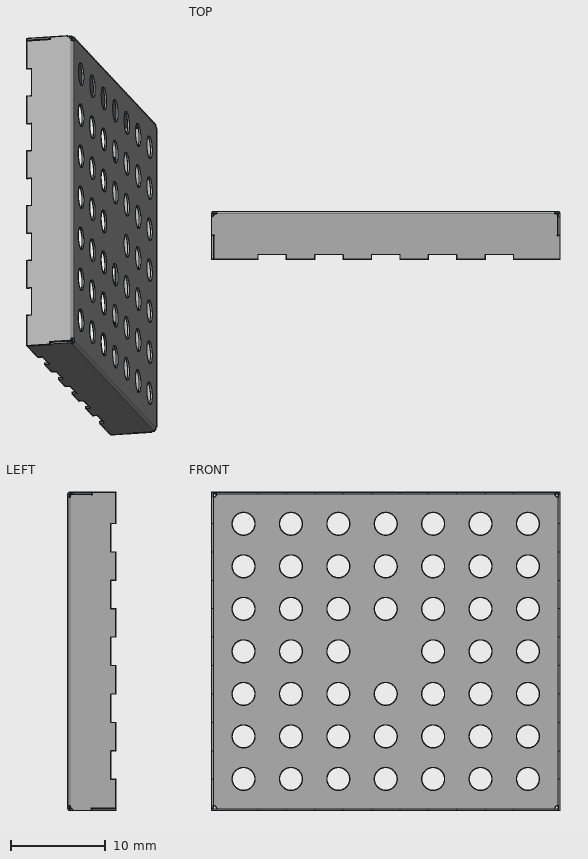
import cadquery as cq

width = 36.83
height = 33.65
depth = 5.1
thickness = 0.2
bend_radius = 0.25

joint_gap = 0.07
half_gap = joint_gap / 2
joint_inset = thickness + joint_gap
lap_chamfer = 0.35
relief_radius = 0.33
bend_inset = thickness + relief_radius

hole_diameter = 2.4
hole_pitch_x = 5.0
hole_pitch_z = 4.5
holes_per_side = 7

notch_count = 5
notch_width = 3.0
notch_pitch = 6.0
notch_depth = 0.5

fold_line = depth / 2 - bend_radius
rim = -depth / 2


def make_plate():
    """Flat plate between the folds, perforated except at its centre."""
    plate = (
        cq.Workplane("XZ", origin=(0, depth / 2, 0))
        .rect(width - 2 * bend_radius, height - 2 * bend_radius)
        .extrude(thickness)
    )
    middle = holes_per_side // 2
    centres = [
        ((column - middle) * hole_pitch_x, (row - middle) * hole_pitch_z)
        for column in range(holes_per_side)
        for row in range(holes_per_side)
        if (column, row) != (middle, middle)
    ]
    holes = (
        cq.Workplane("XZ", origin=(0, depth / 2, 0))
        .pushPoints(centres)
        .circle(hole_diameter / 2)
        .extrude(thickness)
    )
    return plate.cut(holes)


def make_wall(length, distance):
    """Wall on the +Z side: length along X, outer face at Z = distance."""
    end = length / 2
    short_end = end - joint_inset
    bend_end = end - bend_inset
    inner_face = distance - thickness

    outline = [
        (-bend_end, fold_line),
        (-end + lap_chamfer, fold_line),
        (-end, fold_line - lap_chamfer),
        (-end, half_gap),
        (-short_end, half_gap),
        (-short_end, rim),
        (end, rim),
        (end, -half_gap),
        (short_end, -half_gap),
        (short_end, fold_line),
    ]
    sheet = (
        cq.Workplane("XY", origin=(0, 0, inner_face))
        .polyline(outline)
        .close()
        .extrude(thickness)
    )

    notches = (
        cq.Workplane("XY", origin=(0, rim, inner_face))
        .rarray(notch_pitch, 0.35, notch_count, 1)
        .rect(notch_width, 2 * notch_depth)
        .extrude(thickness)
    )

    plate_inner_face = depth / 2 - thickness
    bend = (
        cq.Workplane("YZ", origin=(-bend_end, 0, 0))
        .moveTo(fold_line, distance)
        .radiusArc((depth / 2, distance - bend_radius), bend_radius)
        .lineTo(plate_inner_face, distance - bend_radius)
        .lineTo(plate_inner_face, inner_face)
        .lineTo(fold_line, inner_face)
        .close()
        .extrude(2 * bend_end)
    )
    return sheet.cut(notches).union(bend)


def make_corner_reliefs():
    """Round cutters through the plate where two folds meet."""
    return (
        cq.Workplane("XZ", origin=(0, depth / 2, 0))
        .rect(width - 2 * thickness, height - 2 * thickness, forConstruction=True)
        .vertices()
        .circle(relief_radius)
        .extrude(bend_radius)
    )


result = make_plate()
for turn in range(4):
    if turn % 2 == 0:
        wall = make_wall(width, height / 2)
    else:
        wall = make_wall(height, width / 2)
    result = result.union(wall.rotate((0, 0, 0), (0, 1, 0), 90 * turn))
result = result.cut(make_corner_reliefs())